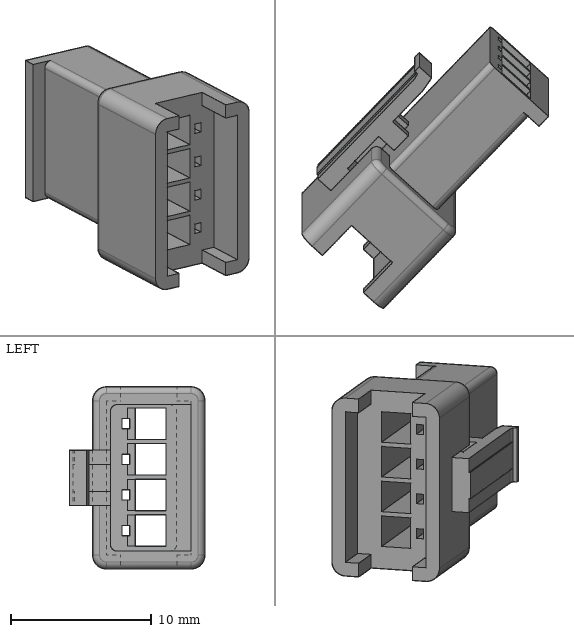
import cadquery as cq

length = 18.25
shell_front = 10.5
shell_height = 13.0
shell_depth = 8.01
shell_wall = 1.0
shell_corner_radius = 1.0
shell_front_radius = 0.5
shell_top = shell_depth / 2

notch_width = 4.0
notch_floor = 15.22

body_top = 2.74
body_bottom = -1.99
body_height = 10.44
body_edge_radius = 0.5
lip_bottom = -3.0
lip_thickness = 1.0

channel_count = 4
channel_pitch = 2.54
channel_height = 2.23
channel_bottom = -1.22
channel_top = 1.53
channel_row_offset = 0.05
throat_top = 0.95
groove_top = 1.9
groove_bottom = 1.37
groove_height = 0.71

latch_width = 3.95
latch_middle_width = 1.93
latch_front = 4.25
latch_rear = notch_floor
beam_bottom = 4.25
beam_top = 5.27
rib_top = 5.38
tip_top = shell_top + 1.65
tip_bottom = 4.43
tip_rear = 4.73
tip_ramp_bottom_end = 5.35
tip_ramp_top_end = 5.11
leg_front = 8.5
leg_rear = 9.98
hinge_front = 13.21


def block(x_range, y_range, height, z_center=0.0):
    """Box spanning the given X and Y ranges, centred on z_center."""
    x_size = x_range[1] - x_range[0]
    y_size = y_range[1] - y_range[0]
    center = (sum(x_range) / 2, sum(y_range) / 2, z_center)
    return cq.Workplane("XY").box(x_size, y_size, height).translate(center)


def make_shell():
    outer = block((shell_front, length), (-shell_top, shell_top), shell_height)
    outer = outer.edges("|X").fillet(shell_corner_radius)
    outer = outer.faces("<X").edges().fillet(shell_front_radius)
    inner_top = shell_top - shell_wall
    cavity = block((notch_floor, length), (-inner_top, inner_top), shell_height - 2 * shell_wall)
    notch = block((notch_floor, length), (-notch_width / 2, notch_width / 2), shell_height)
    latch_slot = block((shell_front, hinge_front), (body_top, shell_top), latch_width)
    return outer.cut(cavity).cut(notch).cut(latch_slot)


def make_body():
    body = block((0, shell_front), (body_bottom, body_top), body_height)
    body = body.edges("|X").fillet(body_edge_radius)
    lip_top = body_top - body_edge_radius
    lip = block((0, lip_thickness), (lip_bottom, lip_top), body_height)
    return body.union(lip)


def make_latch():
    beam_outline = [
        (latch_front, tip_top),
        (tip_rear, tip_top),
        (tip_rear, rib_top),
        (tip_ramp_top_end, beam_top),
        (latch_rear, beam_top),
        (latch_rear, beam_bottom),
        (tip_ramp_bottom_end, beam_bottom),
        (latch_front, tip_bottom),
    ]
    beam = cq.Workplane("XY").polyline(beam_outline).close().extrude(latch_width / 2, both=True)
    rib = block((tip_rear, latch_rear), (tip_bottom, rib_top), latch_middle_width)
    legs = block((leg_front, leg_rear), (body_top, beam_bottom), latch_width)
    leg_gap = block((leg_front, leg_rear), (body_top, beam_bottom), latch_middle_width)
    hinge = block((hinge_front, latch_rear), (body_top, beam_bottom), latch_width)
    return beam.union(rib).union(legs.cut(leg_gap)).union(hinge)


def make_channel(z_center):
    """Wide pocket through the body, narrowing to a throat and a thin groove through to the cavity."""
    pocket = block((0, shell_front), (channel_bottom, channel_top), channel_height, z_center)
    throat = block((0, notch_floor), (channel_bottom, throat_top), channel_height, z_center)
    groove = block((0, notch_floor), (groove_bottom, groove_top), groove_height, z_center)
    return pocket.union(throat).union(groove)


result = make_shell().union(make_body()).union(make_latch())

for index in range(channel_count):
    row_position = (index - (channel_count - 1) / 2) * channel_pitch
    result = result.cut(make_channel(row_position + channel_row_offset))